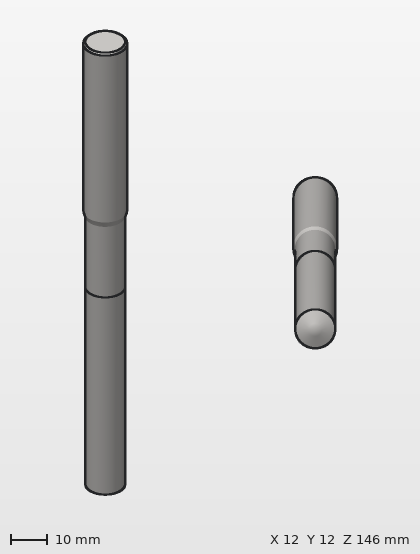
import cadquery as cq
import math

total_length = 146.0
shank_diameter = 12.0
cutter_diameter = 11.0
shank_length = 55.0
shoulder_length = 1.8
cutter_length = 66.3
point_angle = 140.0
end_chamfer = 0.6

shank_radius = shank_diameter / 2
cutter_radius = cutter_diameter / 2
point_height = cutter_radius / math.tan(math.radians(point_angle / 2))
shank_bottom = total_length - shank_length
neck_top = shank_bottom - shoulder_length


def revolve_profile(points):
    """Turn a closed (radius, height) outline about the Z axis."""
    return cq.Workplane("XZ").polyline(points).close().revolve(360, (0, 0, 0), (0, 1, 0))


def make_shank():
    """Chamfered grip, conical shoulder and neck."""
    return revolve_profile([
        (0, cutter_length),
        (cutter_radius, cutter_length),
        (cutter_radius, neck_top),
        (shank_radius, shank_bottom),
        (shank_radius, total_length - end_chamfer),
        (shank_radius - end_chamfer, total_length),
        (0, total_length),
    ])


def make_cutter():
    """Cylindrical cutting section with a conical point."""
    return revolve_profile([
        (0, 0),
        (cutter_radius, point_height),
        (cutter_radius, cutter_length),
        (0, cutter_length),
    ])


shank = make_shank()
cutter = make_cutter()

result = cq.Compound.makeCompound([shank.val(), cutter.val()])